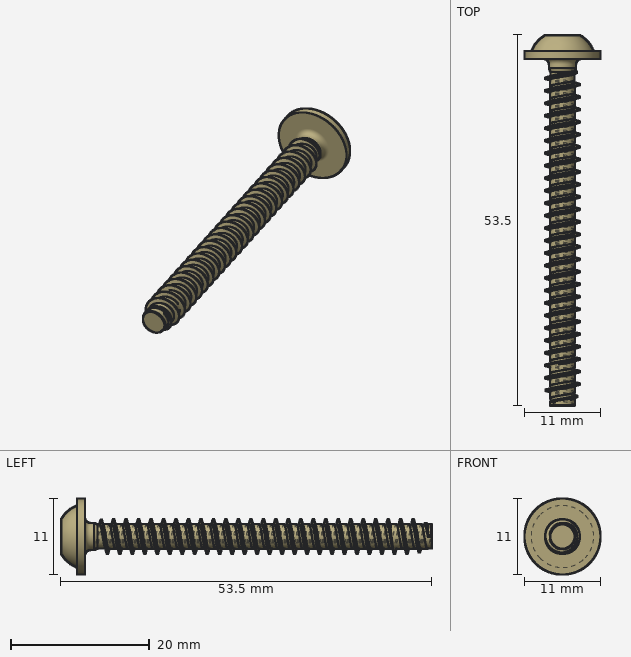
import cadquery as cq
import math

length = 53.5
head_top = length / 2

flange_radius = 5.5
flange_top = 2.3
flange_thickness = 1.2
flange_bottom = flange_top + flange_thickness
cap_radius = 4.5
cap_flat_radius = 2.5
dome_bulge = 0.25

neck_radius = 2.0
neck_fillet = 0.75
neck_end = 4.75
cone_length = 0.55

land_radius = 1.8
groove_depth = 0.065
groove_width = 0.6
groove_radius = land_radius - groove_depth

thread_radius = 2.5
pitch = 1.8
crest_width = 0.08
flank_angle = 15.0
root_overlap = 0.1
root_radius = groove_radius - root_overlap
start_radius = groove_radius - root_overlap / 2
thread_start = 4.8
thread_start_angle = -105.0
thread_turns = 26.8
start_runout = 0.6
end_runout = 1.1
tip_margin = 0.05
points_per_turn = 16


def axial(depth):
    """Y of a point at the given depth below the top of the head."""
    return head_top - depth


def make_body():
    """Head and shank, revolved about the Y axis."""
    fillet_end = flange_bottom + neck_fillet
    fillet_sag = neck_fillet * (1 - math.sqrt(0.5))
    outline = (
        cq.Workplane("XY")
        .moveTo(0, axial(0))
        .lineTo(cap_flat_radius, axial(0))
        .sagittaArc((cap_radius, axial(flange_top)), dome_bulge)
        .lineTo(flange_radius, axial(flange_top))
        .lineTo(flange_radius, axial(flange_bottom))
        .lineTo(neck_radius + neck_fillet, axial(flange_bottom))
        .threePointArc(
            (neck_radius + fillet_sag, axial(flange_bottom + fillet_sag)),
            (neck_radius, axial(fillet_end)),
        )
        .lineTo(neck_radius, axial(neck_end))
        .lineTo(groove_radius, axial(neck_end + cone_length))
        .lineTo(groove_radius, axial(length))
        .lineTo(0, axial(length))
        .close()
    )
    return outline.revolve(360, (0, 0, 0), (0, 1, 0))


def flank_offset(radius):
    """Axial distance from the ridge centre to either flank at a radius."""
    return crest_width / 2 + (thread_radius - radius) * math.tan(math.radians(flank_angle))


def thread_section(turn):
    """(radius, depth) corners of the ridge and its land after a number of turns."""
    rise = min(1.0, turn / start_runout)
    fall = min(1.0, (thread_turns - turn) / end_runout)
    land = start_radius + (land_radius - start_radius) * rise
    crest = land + (thread_radius - land_radius) * rise * fall
    centre = thread_start + pitch * turn
    half_crest = crest_width / 2
    lip_depth = min(centre + pitch - groove_width, length - tip_margin)
    return [
        (root_radius, centre - flank_offset(root_radius)),
        (crest, centre - half_crest),
        (crest, centre + half_crest),
        (land, centre + flank_offset(land_radius)),
        (land, lip_depth - groove_depth),
        (root_radius, lip_depth),
    ]


def make_thread():
    """Helical solid whose edges follow the corners of the thread section."""
    steps = round(thread_turns * points_per_turn)
    paths = [[] for _ in thread_section(0)]
    for step in range(steps + 1):
        turn = thread_turns * step / steps
        angle = math.radians(thread_start_angle) + 2 * math.pi * turn
        for path, (radius, depth) in zip(paths, thread_section(turn)):
            path.append(cq.Vector(radius * math.cos(angle), axial(depth), radius * math.sin(angle)))
    edges = [cq.Edge.makeSpline(path) for path in paths]
    sides = [cq.Face.makeRuledSurface(edges[i - 1], edges[i]) for i in range(len(edges))]
    caps = [
        cq.Face.makeFromWires(cq.Wire.makePolygon([path[end] for path in paths], close=True))
        for end in (0, -1)
    ]
    return cq.Workplane(obj=cq.Solid.makeSolid(cq.Shell.makeShell(sides + caps)))


result = make_body().union(make_thread())